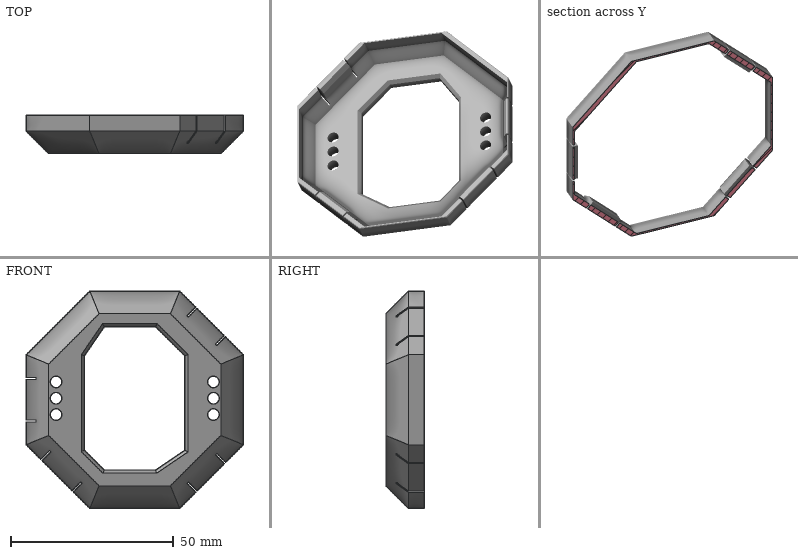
import cadquery as cq
import math

WIDTH = 67.05
DEPTH = 12.0
SLOPE = 7.0
STRAIGHT_WALL = 0.5
DIAGONAL_WALL = 1.5
SLOPE_SETBACK = 0.3
FRONT_PLATE = 4.0
RIM_CHAMFER = 0.2

WINDOW_LEFT = -15.5
WINDOW_RIGHT = 15.4
WINDOW_TOP = 22.45
WINDOW_BOTTOM = -21.65
WINDOW_SIDE_TOP = 13.55
WINDOW_SIDE_BOTTOM = -15.55
WINDOW_EDGE_LEFT = -9.4
WINDOW_EDGE_RIGHT = 6.45
WINDOW_CHAMFER = 1.0
CLEARANCE = 0.7

HOLE_DIAMETER = 3.5
HOLE_COLUMN_X = 24.3
HOLE_CENTRE_Z = 0.5
HOLE_PITCH = 5.0

PAD_HEIGHT = 1.35
PAD_LEAD_LENGTH = 1.55
PAD_LEAD_HEIGHT = 1.1

SLOT_WIDTH = 0.55
LEFT_SLOT_DEPTH = 3.0
DIAGONAL_SLOT_DEPTH = 3.8
SLOTTED_SIDES = [
    (45, DIAGONAL_WALL, DIAGONAL_SLOT_DEPTH, (-5.8, 6.65)),
    (180, STRAIGHT_WALL, LEFT_SLOT_DEPTH, (-6.6, 6.6)),
    (225, DIAGONAL_WALL, DIAGONAL_SLOT_DEPTH, (-7.25, 6.45)),
    (315, DIAGONAL_WALL, DIAGONAL_SLOT_DEPTH, (-6.6, 5.9)),
]

FRONT_Y = -DEPTH / 2
BACK_Y = DEPTH / 2
SLOPE_END_Y = FRONT_Y + SLOPE
PLATE_BACK_Y = FRONT_Y + FRONT_PLATE


def plane_at(y):
    """XZ plane at the given Y, with its normal towards the front (-Y)."""
    return cq.Plane(origin=(0, y, 0), xDir=(1, 0, 0), normal=(0, -1, 0))


def octagon(y, straight_flat, diagonal_flat):
    """Octagon with its straight and diagonal flats at the given distances from the Y axis."""
    far = straight_flat
    near = diagonal_flat * math.sqrt(2) - far
    corners = [
        (far, -near), (far, near), (near, far), (-near, far),
        (-far, near), (-far, -near), (-near, -far), (near, -far),
    ]
    return cq.Workplane(plane_at(y)).polyline(corners).close()


def stepped_octagon(start_y, corner_y, straight_flat, diagonal_flat):
    """Octagonal block to the back rim, widening at 45 degrees up to corner_y."""
    inset = corner_y - start_y
    start = octagon(start_y, straight_flat - inset, diagonal_flat - inset).wires().val()
    end = octagon(corner_y, straight_flat, diagonal_flat).wires().val()
    slope = cq.Workplane(cq.Solid.makeLoft([start, end], True))
    band = octagon(corner_y, straight_flat, diagonal_flat).extrude(corner_y - BACK_Y)
    return slope.union(band)


def make_body():
    """Solid outer shape with a small chamfer around the back rim."""
    block = stepped_octagon(FRONT_Y, SLOPE_END_Y, WIDTH / 2, WIDTH / 2)
    return block.faces(">Y").chamfer(RIM_CHAMFER)


def make_cavity():
    """Hollow behind the front plate, open at the back."""
    straight_flat = WIDTH / 2 - STRAIGHT_WALL
    diagonal_flat = WIDTH / 2 - DIAGONAL_WALL
    corner_y = SLOPE_END_Y + SLOPE_SETBACK
    return stepped_octagon(PLATE_BACK_Y, corner_y, straight_flat, diagonal_flat)


def make_pad(angle, wall, offsets):
    """Pad on the inside of one side, filling the space between its two slots."""
    outer = WIDTH / 2 - wall / 2
    inner = WIDTH / 2 - wall - PAD_HEIGHT
    profile = [
        (outer, SLOPE_END_Y),
        (inner, SLOPE_END_Y),
        (inner, BACK_Y - PAD_LEAD_LENGTH),
        (inner + PAD_LEAD_HEIGHT, BACK_Y),
        (outer, BACK_Y),
    ]
    pad = cq.Workplane("XY").polyline(profile).close().extrude(offsets[1] - offsets[0])
    return pad.translate((0, 0, offsets[0])).rotate((0, 0, 0), (0, 1, 0), -angle)


def cut_window(body):
    """Cut the window through the front plate and chamfer both of its edges."""
    corners = [
        (WINDOW_EDGE_LEFT, WINDOW_TOP),
        (WINDOW_EDGE_RIGHT, WINDOW_TOP),
        (WINDOW_RIGHT, WINDOW_SIDE_TOP),
        (WINDOW_RIGHT, WINDOW_SIDE_BOTTOM),
        (WINDOW_EDGE_RIGHT, WINDOW_BOTTOM),
        (WINDOW_EDGE_LEFT, WINDOW_BOTTOM),
        (WINDOW_LEFT, WINDOW_SIDE_BOTTOM),
        (WINDOW_LEFT, WINDOW_SIDE_TOP),
    ]
    window = cq.Workplane(plane_at(FRONT_Y)).polyline(corners).close().extrude(-FRONT_PLATE)
    body = body.cut(window)
    around_window = cq.selectors.BoxSelector(
        (WINDOW_LEFT - CLEARANCE, FRONT_Y - CLEARANCE, WINDOW_BOTTOM - CLEARANCE),
        (WINDOW_RIGHT + CLEARANCE, BACK_Y, WINDOW_TOP + CLEARANCE),
    )
    return body.edges(around_window).edges("not |Y").chamfer(WINDOW_CHAMFER)


def make_holes():
    """Cutters for the two columns of through holes."""
    centres = [
        (x, HOLE_CENTRE_Z + row * HOLE_PITCH)
        for x in (-HOLE_COLUMN_X, HOLE_COLUMN_X)
        for row in (-1, 0, 1)
    ]
    return cq.Workplane(plane_at(FRONT_Y)).pushPoints(centres).circle(HOLE_DIAMETER / 2).extrude(-DEPTH)


def make_slot(angle, depth, offset):
    """Thin cutter reaching inwards from one side, through the full depth."""
    centre_x = WIDTH / 2 - depth / 2
    cutter = cq.Workplane("XY").box(depth, DEPTH, SLOT_WIDTH)
    cutter = cutter.translate((centre_x, 0, offset))
    return cutter.rotate((0, 0, 0), (0, 1, 0), -angle)


result = make_body().cut(make_cavity())
result = cut_window(result)
result = result.cut(make_holes())
for side_angle, side_wall, slot_depth, slot_offsets in SLOTTED_SIDES:
    result = result.union(make_pad(side_angle, side_wall, slot_offsets))
    for slot_offset in slot_offsets:
        result = result.cut(make_slot(side_angle, slot_depth, slot_offset))